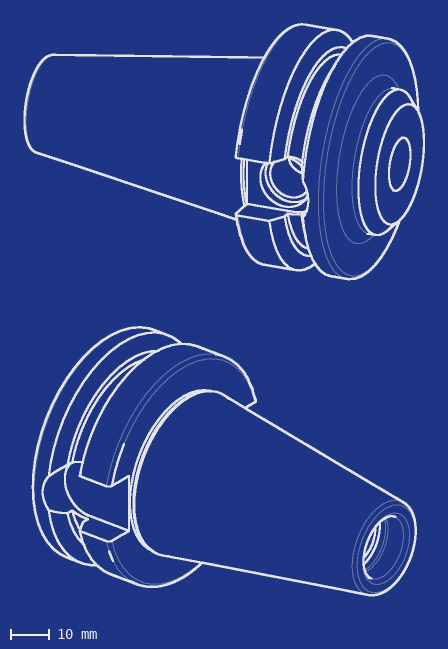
import cadquery as cq
import math

LENGTH = 100.5
TAPER_LENGTH = 65.5
NECK_START = 66.1
FLANGE_START = 67.2
FLANGE_END = 92.3

TAPER_RATIO = 7 / 24
TAPER_LARGE_RADIUS = 22.3
TAPER_SMALL_RADIUS = TAPER_LARGE_RADIUS - TAPER_LENGTH * TAPER_RATIO / 2
TAPER_TIP_FILLET = 1.0
NECK_RADIUS = 22.0

FLANGE_RADIUS = 31.49
FLANGE_FILLET = 1.0
GROOVE_START = 77.0
GROOVE_END = 86.8
GROOVE_WALL_WIDTH = 2.4
GROOVE_WALL_ANGLE = math.radians(60)
GROOVE_WALL_RADIUS = FLANGE_RADIUS - GROOVE_WALL_WIDTH * math.tan(GROOVE_WALL_ANGLE)
GROOVE_FLOOR_RADIUS = 25.4

NOSE_RADIUS = 19.04
NOSE_FILLET = 3.0
NOSE_CHAMFER = 3.3

BORE_DIAMETER = 13.9
MOUTH_DIAMETER = 17.1
MOUTH_LENGTH = 6.2
MOUTH_FILLET = 1.1
RELIEF_DIAMETER = 17.6
RELIEF_CONE_LENGTH = 1.0
RELIEF_END = 9.1

SLOT_WIDTH = 16.1
SLOT_END = 88.5
SLOT_FLOOR = 22.4
SCREW_X = 77.9
SCREW_DIAMETER = 11.4
SCREW_RECESS_DIAMETER = 14.0
SCREW_RECESS_DEPTH = 3.4


def revolve_about_x(profile):
    return profile.close().revolve(360, (0, 0, 0), (1, 0, 0))


def make_body():
    nose_arc_center = (FLANGE_END + NOSE_FILLET, NOSE_RADIUS + NOSE_FILLET)
    nose_arc_offset = NOSE_FILLET * math.sqrt(0.5)
    profile = (
        cq.Workplane("XY")
        .moveTo(0, 0)
        .lineTo(0, TAPER_SMALL_RADIUS)
        .lineTo(TAPER_LENGTH, TAPER_LARGE_RADIUS)
        .lineTo(NECK_START, NECK_RADIUS)
        .lineTo(FLANGE_START, NECK_RADIUS)
        .lineTo(FLANGE_START, FLANGE_RADIUS)
        .lineTo(GROOVE_START, FLANGE_RADIUS)
        .lineTo(GROOVE_START + GROOVE_WALL_WIDTH, GROOVE_WALL_RADIUS)
        .lineTo(GROOVE_START + GROOVE_WALL_WIDTH, GROOVE_FLOOR_RADIUS)
        .lineTo(GROOVE_END - GROOVE_WALL_WIDTH, GROOVE_FLOOR_RADIUS)
        .lineTo(GROOVE_END - GROOVE_WALL_WIDTH, GROOVE_WALL_RADIUS)
        .lineTo(GROOVE_END, FLANGE_RADIUS)
        .lineTo(FLANGE_END, FLANGE_RADIUS)
        .lineTo(FLANGE_END, NOSE_RADIUS + NOSE_FILLET)
        .threePointArc(
            (nose_arc_center[0] - nose_arc_offset, nose_arc_center[1] - nose_arc_offset),
            (FLANGE_END + NOSE_FILLET, NOSE_RADIUS),
        )
        .lineTo(LENGTH - NOSE_CHAMFER, NOSE_RADIUS)
        .lineTo(LENGTH, NOSE_RADIUS - NOSE_CHAMFER)
        .lineTo(LENGTH, 0)
    )
    body = revolve_about_x(profile)
    body = round_rim(body, 0, TAPER_SMALL_RADIUS, TAPER_TIP_FILLET)
    for x in (FLANGE_START, FLANGE_END):
        body = round_rim(body, x, FLANGE_RADIUS, FLANGE_FILLET)
    return body


def round_rim(body, x, radius, fillet):
    tolerance = 0.05
    reach = radius + tolerance
    inside = radius - tolerance
    rim = cq.selectors.BoxSelector(
        (x - tolerance, -reach, -reach), (x + tolerance, reach, reach), boundingbox=True
    )
    hub = cq.selectors.BoxSelector(
        (x - tolerance, -inside, -inside), (x + tolerance, inside, inside), boundingbox=True
    )
    return body.edges(rim - hub).fillet(fillet)


def make_bore():
    mouth_radius = MOUTH_DIAMETER / 2
    relief_radius = RELIEF_DIAMETER / 2
    bore_radius = BORE_DIAMETER / 2
    arc_inset = MOUTH_FILLET * (1 - math.sqrt(0.5))
    profile = (
        cq.Workplane("XY")
        .moveTo(0, 0)
        .lineTo(0, mouth_radius + MOUTH_FILLET)
        .threePointArc((arc_inset, mouth_radius + arc_inset), (MOUTH_FILLET, mouth_radius))
        .lineTo(MOUTH_LENGTH, mouth_radius)
        .lineTo(MOUTH_LENGTH + RELIEF_CONE_LENGTH, relief_radius)
        .lineTo(RELIEF_END, relief_radius)
        .lineTo(RELIEF_END, bore_radius)
        .lineTo(LENGTH, bore_radius)
        .lineTo(LENGTH, 0)
    )
    return revolve_about_x(profile)


def make_drive_slot():
    """Round-ended slot on the -Y side, open toward the taper."""
    half_width = SLOT_WIDTH / 2
    arc_x = SLOT_END - half_width
    return (
        cq.Workplane("XZ", origin=(0, -SLOT_FLOOR, 0))
        .moveTo(FLANGE_START, -half_width)
        .lineTo(arc_x, -half_width)
        .threePointArc((SLOT_END, 0), (arc_x, half_width))
        .lineTo(FLANGE_START, half_width)
        .close()
        .extrude(FLANGE_RADIUS - SLOT_FLOOR)
    )


def make_screw_hole():
    """Counterbored hole from the -Y slot floor into the axial bore."""
    hole = cq.Workplane("XZ").center(SCREW_X, 0).circle(SCREW_DIAMETER / 2).extrude(SLOT_FLOOR)
    recess = (
        cq.Workplane("XZ", origin=(0, SCREW_RECESS_DEPTH - SLOT_FLOOR, 0))
        .center(SCREW_X, 0)
        .circle(SCREW_RECESS_DIAMETER / 2)
        .extrude(SCREW_RECESS_DEPTH)
    )
    return hole.union(recess)


slot = make_drive_slot()
result = (
    make_body()
    .cut(make_bore())
    .cut(slot)
    .cut(slot.mirror("XZ"))
    .cut(make_screw_hole())
)